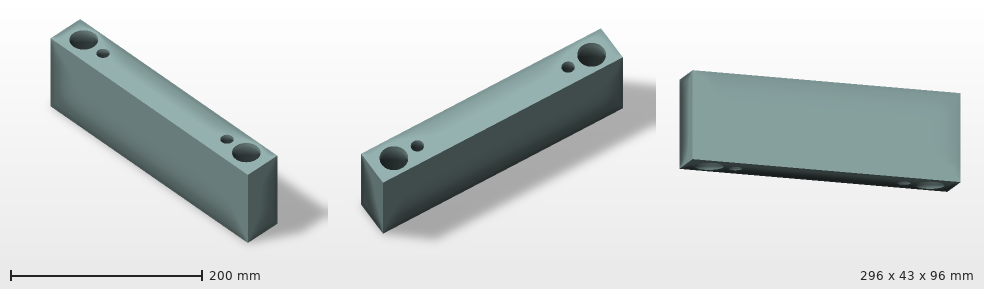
import cadquery as cq

length = 296.0
width = 43.0
height = 96.0

large_diameter = 30.0
large_spacing = 244.0
small_diameter = 14.0
small_spacing = 186.0
back_edge_distance = 20.0
hole_line_y = width / 2 - back_edge_distance


def hole_pair(diameter, spacing):
    """Two vertical cylinders the full height of the block, mirrored about X = 0."""
    centres = [(-spacing / 2, hole_line_y), (spacing / 2, hole_line_y)]
    return cq.Workplane("XY").pushPoints(centres).circle(diameter / 2).extrude(height)


block = cq.Workplane("XY").box(length, width, height, centered=(True, True, False))
result = block.cut(hole_pair(large_diameter, large_spacing)).cut(hole_pair(small_diameter, small_spacing))